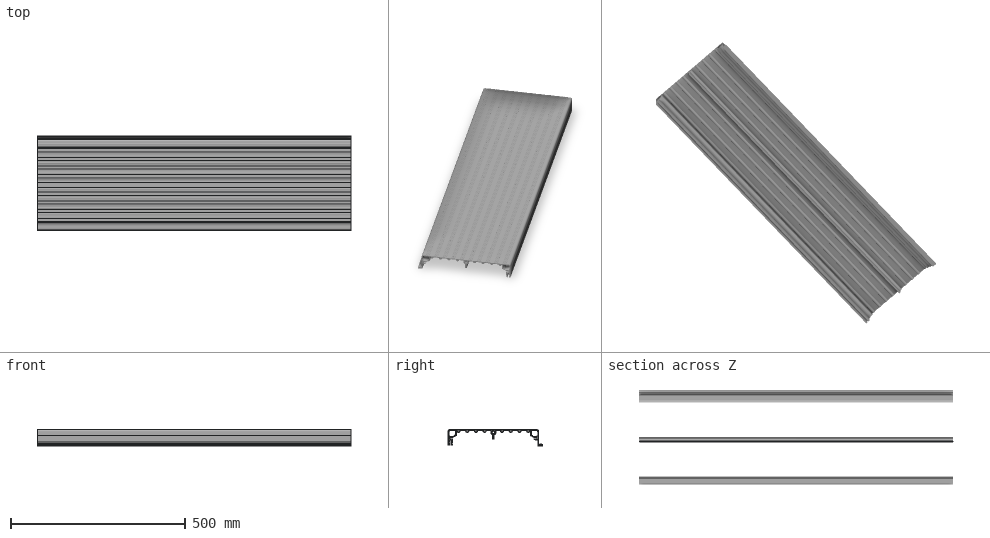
import cadquery as cq
import math

length = 900.0
overall_width = 271.0
overall_height = 47.0
flange_reach = 11.0
wall = 2.5
deck_thickness = 3.0

band_count = 10
band_span = 225.0
beads_per_band = 3
bead_pitch = 4.1
bead_width = 3.15
bead_slope = math.radians(45)

half_width = (overall_width - flange_reach) / 2
band_pitch = band_span / (band_count - 1)
bead_height = bead_width / 2 * math.tan(bead_slope / 2)
deck_top = overall_height - bead_height
deck_under = deck_top - deck_thickness
corner_radius = 5.2
inner_radius = corner_radius - wall

rib_width = 9.0
rib_tip_z = 39.0

boss_radius = 7.0
boss_hole_diameter = 7.3
boss_z = 39.0
stem_width = 4.5
stem_bottom_z = 19.0

web_inner = 106.0
web_thickness = 3.0
web_bottom_z = 30.0
floor_start = 113.0
floor_slope_top_z = 32.0
chamber_floor_z = 27.0
chamber_floor_thickness = 3.0
lip_end = 117.0
slot_end = 125.0
lip_top_z = 20.0
lip_root_z = 18.0
lip_bulge_z = 17.0

leg_bottom_z = 3.0
leg_top_z = 16.0
inner_leg_width = 4.5
outer_leg_width = 4.05
notch_height = 4.5
outer_notch_depth = 2.0
outer_notch_z = 6.0
inner_notch_depth = 3.0
inner_notch_z = 4.0

flange_thickness = 4.0
flange_bead_radius = 2.25
flange_bead_offset = 5.0
foot_radius = 2.0


def extrude_profile(outline):
    return outline.close().extrude(length / 2, both=True)


def section():
    return cq.Workplane("YZ")


def bar(points):
    return extrude_profile(section().polyline(points))


def add_bead(outline, center):
    """One wave: a hollow foot arc, a round crest arc and a second foot arc."""
    foot = bead_width / 2
    flank = bead_width / 4
    flank_z = deck_top + bead_height / 2
    outline = outline.lineTo(center - foot, deck_top)
    outline = outline.tangentArcPoint((center - flank, flank_z), relative=False)
    outline = outline.tangentArcPoint((center + flank, flank_z), relative=False)
    return outline.tangentArcPoint((center + foot, deck_top), relative=False)


def make_shell():
    """Deck with its grip bands and both side walls."""
    inside = half_width - wall
    outline = section().moveTo(-inside, leg_bottom_z).lineTo(-half_width, leg_bottom_z)
    outline = outline.lineTo(-half_width, deck_top - corner_radius)
    outline = outline.tangentArcPoint((-half_width + corner_radius, deck_top), relative=False)
    for band in range(band_count):
        band_center = band * band_pitch - band_span / 2
        for bead in range(beads_per_band):
            outline = add_bead(outline, band_center + (bead - (beads_per_band - 1) / 2) * bead_pitch)
    outline = outline.lineTo(half_width - corner_radius, deck_top)
    outline = outline.tangentArcPoint((half_width, deck_top - corner_radius), relative=False)
    outline = outline.lineTo(half_width, 0).lineTo(inside + foot_radius, 0)
    outline = outline.tangentArcPoint((inside, foot_radius), relative=False)
    outline = outline.lineTo(inside, deck_under - inner_radius)
    outline = outline.tangentArcPoint((inside - inner_radius, deck_under), relative=False)
    outline = outline.lineTo(-inside + inner_radius, deck_under)
    outline = outline.tangentArcPoint((-inside, deck_under - inner_radius), relative=False)
    return extrude_profile(outline)


def make_rib(center):
    side = rib_width / 2
    outline = section().moveTo(center - side, deck_under)
    return extrude_profile(outline.threePointArc((center, rib_tip_z), (center + side, deck_under)))


def make_boss():
    """Round-bottomed boss hanging from the deck, with a flat stem below it."""
    outline = section().moveTo(-boss_radius, deck_under).lineTo(-boss_radius, boss_z)
    outline = outline.threePointArc((0, boss_z - boss_radius), (boss_radius, boss_z))
    boss = extrude_profile(outline.lineTo(boss_radius, deck_under))
    stem = section().rect(stem_width, boss_z - stem_bottom_z)
    stem = stem.extrude(length / 2, both=True).translate((0, 0, (boss_z + stem_bottom_z) / 2))
    return boss.union(stem)


def make_boss_hole():
    return section().center(0, boss_z).circle(boss_hole_diameter / 2).extrude(length / 2, both=True)


def make_chamber(side):
    """Web and floor that close a duct in the corner, with an open slot and a lip below it."""
    floor_under = chamber_floor_z - chamber_floor_thickness
    web_outer = web_inner + web_thickness
    lip_root = half_width - wall
    before_lip = [
        (lip_root, lip_root_z),
        (lip_root, web_bottom_z),
        (slot_end, chamber_floor_z),
        (floor_start, chamber_floor_z),
        (web_outer, floor_slope_top_z),
        (web_outer, deck_under),
        (web_inner, deck_under),
        (web_inner, web_bottom_z),
        (lip_end, floor_under),
        (slot_end, floor_under),
        (slot_end, lip_top_z),
        (lip_end, lip_top_z),
    ]
    outline = section().polyline([(side * y, z) for y, z in before_lip])
    lip_middle = (lip_end + lip_root) / 2
    outline = outline.threePointArc((side * lip_middle, lip_bulge_z), (side * lip_root, lip_root_z))
    return extrude_profile(outline)


def make_clip():
    """Two notched legs with a slot between them, hanging from the lip of the -Y wall."""
    inner_leg_end = lip_end + inner_leg_width
    outer_leg_start = half_width - outer_leg_width
    outer_notch_top = outer_notch_z + notch_height
    inner_notch_top = inner_notch_z + notch_height
    points = [
        (lip_end, lip_top_z),
        (lip_end, inner_notch_top),
        (lip_end + inner_notch_depth, inner_notch_top),
        (lip_end + inner_notch_depth, inner_notch_z),
        (lip_end, inner_notch_z),
        (lip_end, leg_bottom_z),
        (inner_leg_end, leg_bottom_z),
        (inner_leg_end, leg_top_z),
        (outer_leg_start, leg_top_z),
        (outer_leg_start, outer_notch_top),
        (outer_leg_start + outer_notch_depth, outer_notch_top),
        (outer_leg_start + outer_notch_depth, outer_notch_z),
        (outer_leg_start, outer_notch_z),
        (outer_leg_start, leg_bottom_z),
        (half_width, leg_bottom_z),
        (half_width, lip_top_z),
    ]
    return bar([(-y, z) for y, z in points])


def make_flange():
    """Flange outside the +Y wall with a half-round bead along its top."""
    tip = half_width + flange_reach
    bead_center = half_width + flange_bead_offset
    outline = section().moveTo(half_width, 0).lineTo(tip, 0).lineTo(tip, flange_thickness)
    outline = outline.lineTo(bead_center + flange_bead_radius, flange_thickness)
    outline = outline.threePointArc(
        (bead_center, flange_thickness + flange_bead_radius),
        (bead_center - flange_bead_radius, flange_thickness),
    )
    return extrude_profile(outline.lineTo(half_width, flange_thickness))


result = make_shell().union(make_boss()).union(make_clip()).union(make_flange())
for side in (-1, 1):
    result = result.union(make_chamber(side))
    for step in range(1, band_count // 2):
        result = result.union(make_rib(side * step * band_pitch))
result = result.cut(make_boss_hole()).clean()